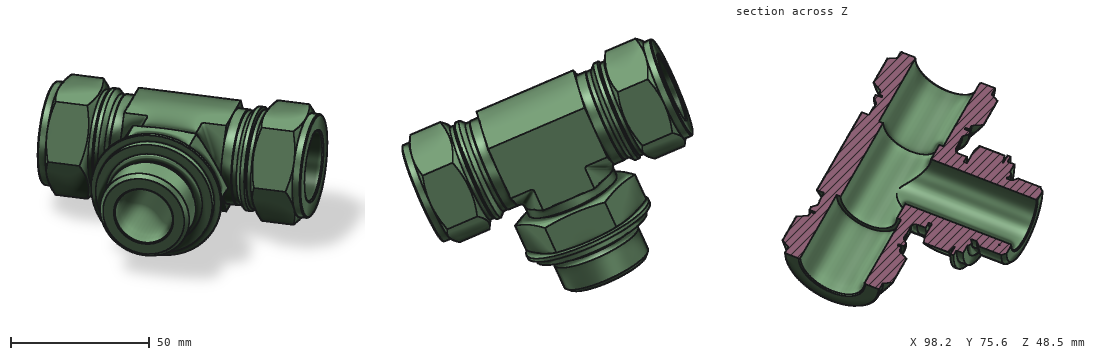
import cadquery as cq
import math


COS_30 = math.cos(math.radians(30))
TAN_30 = math.tan(math.radians(30))
TAN_15 = math.tan(math.radians(15))
POSITION_TOLERANCE = 0.001

block_across_flats = 35.0
block_radius = block_across_flats / 2
body_half_length = 19.1
port_block_length = 19.0
inner_corner_fillet = 1.3

shoulder_diameter = 34.9
shoulder_radius = shoulder_diameter / 2

arm_length = 49.1
shoulder_end = 22.8
shoulder_taper = 0.3
neck_diameter = 34.5
flange_start = 26.5
flange_end = 28.1
flange_diameter = 38.0
groove_diameter = 33.3

nut_start = 28.6
nut_skirt_diameter = 36.5
nut_skirt_chamfer = 0.3
nut_hex_start = 30.9
nut_hex_end = 46.1
nut_across_flats = 38.0
nut_collar_diameter = 37.8
nut_collar_chamfer = 0.4

port_length = 53.7
port_collar_end = 22.5
port_neck_diameter = 29.9
lock_nut_start = 23.6
lock_nut_end = 35.4
lock_nut_across_flats = 41.0
washer_end = 36.8
washer_diameter = 48.5
backup_ring_end = 39.4
backup_ring_diameter = 43.5
o_ring_outer_diameter = 36.5
o_ring_end = 40.3
thread_start = 43.2
thread_diameter = 33.3
thread_chamfer = 1.5

run_bore_diameter = 22.3
tube_socket_diameter = 25.6
tube_socket_depth = 31.2
tube_socket_chamfer = 0.5
port_bore_diameter = 21.5
port_bore_chamfer = 0.4


def turned(profile):
    """Solid of revolution about Z from (station, radius) points."""
    first_station = profile[0][0]
    last_station = profile[-1][0]
    outline = [(0, first_station)]
    outline += [(radius, station) for station, radius in profile]
    outline += [(0, last_station)]
    return cq.Workplane("XZ").polyline(outline).close().revolve(360, (0, 0), (0, 1))


def chamfered_hexagon(across_flats, start, end, start_radius, cone_slope):
    """Hexagon along Z, corners on X, with conical chamfers.

    The start cone opens from start_radius; the end cone opens from the radius of the flats.
    """
    flat_radius = across_flats / 2
    corner_radius = flat_radius / COS_30
    start_cone_length = (corner_radius - start_radius) * cone_slope
    end_cone_length = (corner_radius - flat_radius) * cone_slope
    prism = (
        cq.Workplane("XY")
        .workplane(offset=start)
        .polygon(6, 2 * corner_radius)
        .extrude(end - start)
    )
    envelope = turned([
        (start, start_radius),
        (start + start_cone_length, corner_radius),
        (end - end_cone_length, corner_radius),
        (end, flat_radius),
    ])
    return prism.intersect(envelope)


def along_x(shape):
    """Turn a shape built along Z to point along +X."""
    return shape.rotate((0, 0, 0), (0, 1, 0), 90)


def along_port(shape):
    """Turn a shape built along Z to point along -Y."""
    return shape.rotate((0, 0, 0), (1, 0, 0), 90)


def tee_body():
    """Hexagonal run and port blocks, rounded on the sides that meet in the inner corners."""
    corner = block_radius / COS_30
    edge = corner / 2
    tangent_across = block_radius * COS_30
    tangent_height = block_radius / 2
    run = (
        cq.Workplane("YZ")
        .workplane(offset=-body_half_length)
        .moveTo(corner, 0)
        .lineTo(edge, block_radius)
        .lineTo(-edge, block_radius)
        .lineTo(-tangent_across, tangent_height)
        .threePointArc((-block_radius, 0), (-tangent_across, -tangent_height))
        .lineTo(-edge, -block_radius)
        .lineTo(edge, -block_radius)
        .close()
        .extrude(2 * body_half_length)
    )
    port = (
        cq.Workplane("XZ")
        .moveTo(edge, block_radius)
        .lineTo(-edge, block_radius)
        .lineTo(-tangent_across, tangent_height)
        .threePointArc((-block_radius, 0), (-tangent_across, -tangent_height))
        .lineTo(-edge, -block_radius)
        .lineTo(edge, -block_radius)
        .lineTo(tangent_across, -tangent_height)
        .threePointArc((block_radius, 0), (tangent_across, tangent_height))
        .close()
        .extrude(port_block_length)
    )

    def in_inner_corner(edge_shape):
        ends = (edge_shape.startPoint(), edge_shape.endPoint())
        return all(abs(abs(end.x) + end.y) < POSITION_TOLERANCE for end in ends)

    body = run.union(port)
    corner_edges = body.edges().filter(in_inner_corner)
    return corner_edges.fillet(inner_corner_fillet)


def run_arm():
    """Turned shoulder, flange and tube nut of the arm on the +X side."""
    neck_radius = neck_diameter / 2
    flange_radius = flange_diameter / 2
    groove_radius = groove_diameter / 2
    skirt_radius = nut_skirt_diameter / 2
    collar_radius = nut_collar_diameter / 2
    flat_radius = nut_across_flats / 2
    skirt_end = nut_hex_start - (flat_radius - skirt_radius) * TAN_30
    turning = turned([
        (body_half_length, shoulder_radius),
        (shoulder_end, shoulder_radius),
        (shoulder_end + shoulder_taper, neck_radius),
        (flange_start - (flange_radius - neck_radius), neck_radius),
        (flange_start, flange_radius),
        (flange_end, flange_radius),
        (flange_end, groove_radius),
        (nut_start, groove_radius),
        (nut_start, skirt_radius - nut_skirt_chamfer),
        (nut_start + nut_skirt_chamfer, skirt_radius),
        (nut_hex_end, skirt_radius),
        (nut_hex_end, collar_radius),
        (arm_length - nut_collar_chamfer, collar_radius),
        (arm_length, collar_radius - nut_collar_chamfer),
    ])
    hexagon = chamfered_hexagon(nut_across_flats, skirt_end, nut_hex_end, skirt_radius, TAN_30)
    hexagon_corners_on_y = hexagon.rotate((0, 0, 0), (0, 0, 1), 90)
    return along_x(turning.union(hexagon_corners_on_y))


def port_stem():
    """Turned collar, washer, backup ring and threaded end, with lock nut and O-ring."""
    neck_radius = port_neck_diameter / 2
    washer_radius = washer_diameter / 2
    backup_ring_radius = backup_ring_diameter / 2
    thread_radius = thread_diameter / 2
    turning = turned([
        (port_block_length, shoulder_radius),
        (port_collar_end, shoulder_radius),
        (port_collar_end, neck_radius),
        (lock_nut_end, neck_radius),
        (lock_nut_end, washer_radius),
        (washer_end, washer_radius),
        (washer_end, backup_ring_radius),
        (backup_ring_end, backup_ring_radius),
        (backup_ring_end, neck_radius),
        (thread_start - (thread_radius - neck_radius), neck_radius),
        (thread_start, thread_radius),
        (port_length - thread_chamfer, thread_radius),
        (port_length, thread_radius - thread_chamfer),
    ])
    lock_nut = chamfered_hexagon(
        lock_nut_across_flats,
        lock_nut_start,
        lock_nut_end,
        lock_nut_across_flats / 2,
        TAN_15,
    )

    cord_radius = (o_ring_outer_diameter - port_neck_diameter) / 4
    cord_center_radius = o_ring_outer_diameter / 2 - cord_radius
    o_ring = (
        cq.Workplane("XZ")
        .center(cord_center_radius, o_ring_end - cord_radius)
        .circle(cord_radius)
        .revolve(360, (-cord_center_radius, 0), (-cord_center_radius, 1))
    )
    return along_port(turning.union(lock_nut).union(o_ring))


def run_bore():
    """Through bore of the run with a tube socket at each end."""
    socket_radius = tube_socket_diameter / 2
    bore = cq.Workplane("YZ").circle(run_bore_diameter / 2).extrude(arm_length, both=True)
    socket = along_x(turned([
        (arm_length - tube_socket_depth, socket_radius),
        (arm_length - tube_socket_chamfer, socket_radius),
        (arm_length, socket_radius + tube_socket_chamfer),
    ]))
    return bore.union(socket).union(socket.mirror("YZ"))


def port_bore():
    """Bore from the run axis out through the chamfered mouth of the port."""
    bore_radius = port_bore_diameter / 2
    return along_port(turned([
        (0, bore_radius),
        (port_length - port_bore_chamfer, bore_radius),
        (port_length, bore_radius + port_bore_chamfer),
    ]))


def outer_shape():
    """Body with both arms and the port stem.

    The arms and the stem start on the body's end faces, so they leave the filleted inner corners alone.
    """
    arm = run_arm()
    return tee_body().union(arm).union(arm.mirror("YZ")).union(port_stem())


result = outer_shape().cut(run_bore()).cut(port_bore())